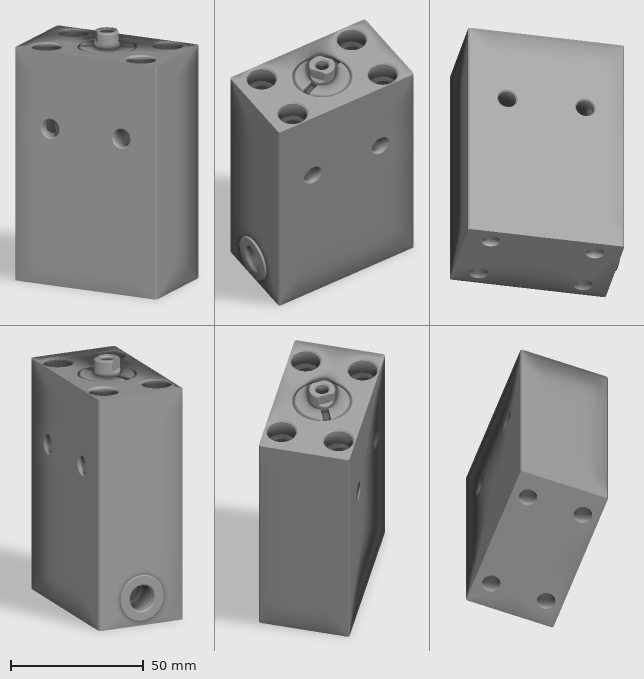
import cadquery as cq
import math

HOUSING_X = 59.9
HOUSING_Y = 35.0
TOTAL_HEIGHT = 97.0
ROD_PROTRUSION = 6.0
HOUSING_Z = TOTAL_HEIGHT - ROD_PROTRUSION
CORNER_CHAMFER = 0.5

SCREW_SPACING_X = 40.0
SCREW_SPACING_Y = 22.0
SCREW_DIA = 7.0
SCREW_CHAMFER = 0.5
COUNTERBORE_DIA = 11.0
COUNTERBORE_DEPTH = 6.8
COUNTERBORE_CHAMFER = 0.6

CROSS_SPACING = 30.0
CROSS_DIA = 7.0
CROSS_BELOW_TOP = 30.0
CROSS_CHAMFER = 0.5

GLAND_DIA = 22.0
GLAND_LENGTH = 20.0
GLAND_CHAMFER = 1.0
GLAND_BORE_CHAMFER = 0.5
SLOT_WIDTH = 3.0
SLOT_DEPTH = 2.0
SLOT_ANGLE = 23.5

ROD_DIA = 10.0
ROD_CHAMFER = 0.4
ROD_BORE_DIA = 5.0
ROD_BORE_DEPTH = 12.0
ROD_BORE_CHAMFER = 0.5
DRILL_POINT_ANGLE = 118.0
FLAT_SPACING = 8.0
FLAT_HEIGHT = 4.0
FLAT_ANGLE = 35.0

PORT_Z = 11.0
PORT_FLANGE_DIA = 18.1
PORT_FLANGE_THICKNESS = 1.1
PORT_FLANGE_CHAMFER = 0.3
PORT_STEM_DIA = 13.0
PORT_BUSHING_LENGTH = 11.2
PORT_BORE_DIA = 10.0
PORT_BORE_CHAMFER = 0.5
PORT_PASSAGE_DIA = 9.0
PORT_PASSAGE_DEPTH = 3.0

HOUSING_LEFT_X = -HOUSING_X / 2
PORT_FACE_X = HOUSING_LEFT_X - PORT_FLANGE_THICKNESS
DOWN = cq.Vector(0, 0, -1)
ALONG_X = cq.Vector(1, 0, 0)
ALONG_Y = cq.Vector(0, 1, 0)


def cylinder(diameter, length, start, direction):
    """Cylinder that begins at a point and runs along a direction."""
    return cq.Workplane(cq.Solid.makeCylinder(diameter / 2, length, start, direction))


def countersink(hole_diameter, chamfer, start, direction):
    """Cone that cuts a 45 degree chamfer into the mouth of a hole."""
    hole_radius = hole_diameter / 2
    return cq.Workplane(cq.Solid.makeCone(hole_radius + chamfer, hole_radius, chamfer, start, direction))


def chamfered_hole(diameter, length, chamfer, start, direction):
    """Cutter for a straight hole with a chamfered mouth."""
    return cylinder(diameter, length, start, direction).union(
        countersink(diameter, chamfer, start, direction))


def cut_screw_holes(body):
    for side_x in (-1, 1):
        for side_y in (-1, 1):
            x = side_x * SCREW_SPACING_X / 2
            y = side_y * SCREW_SPACING_Y / 2
            mouth = cq.Vector(x, y, HOUSING_Z)
            seat = cq.Vector(x, y, HOUSING_Z - COUNTERBORE_DEPTH)
            body = body.cut(chamfered_hole(
                COUNTERBORE_DIA, COUNTERBORE_DEPTH, COUNTERBORE_CHAMFER, mouth, DOWN))
            body = body.cut(chamfered_hole(SCREW_DIA, seat.z, SCREW_CHAMFER, seat, DOWN))
    return body


def cut_cross_holes(body):
    for side_x in (-1, 1):
        x = side_x * CROSS_SPACING / 2
        z = HOUSING_Z - CROSS_BELOW_TOP
        front = cq.Vector(x, -HOUSING_Y / 2, z)
        back = cq.Vector(x, HOUSING_Y / 2, z)
        body = body.cut(chamfered_hole(CROSS_DIA, HOUSING_Y, CROSS_CHAMFER, front, ALONG_Y))
        body = body.cut(countersink(CROSS_DIA, CROSS_CHAMFER, back, -ALONG_Y))
    return body


def port_stem():
    """Bushing stem, which fills the port recess in the housing."""
    stem_length = PORT_BUSHING_LENGTH - PORT_FLANGE_THICKNESS
    return cylinder(PORT_STEM_DIA, stem_length, cq.Vector(HOUSING_LEFT_X, 0, PORT_Z), ALONG_X)


def port_passage():
    start = cq.Vector(PORT_FACE_X + PORT_BUSHING_LENGTH, 0, PORT_Z)
    return chamfered_hole(
        PORT_PASSAGE_DIA, PORT_PASSAGE_DEPTH, PORT_BORE_CHAMFER, start, ALONG_X)


def make_housing():
    body = cq.Workplane().box(HOUSING_X, HOUSING_Y, HOUSING_Z, centered=(True, True, False))
    body = body.edges("|Z").chamfer(CORNER_CHAMFER)
    body = cut_screw_holes(body)
    body = cut_cross_holes(body)
    gland_seat = chamfered_hole(
        GLAND_DIA, GLAND_LENGTH, GLAND_BORE_CHAMFER, cq.Vector(0, 0, HOUSING_Z), DOWN)
    return body.cut(gland_seat).cut(port_stem()).cut(port_passage())


def make_gland():
    top = cq.Vector(0, 0, HOUSING_Z)
    body = cylinder(GLAND_DIA, GLAND_LENGTH, top, DOWN).faces(">Z").edges().chamfer(GLAND_CHAMFER)
    slot = (
        cq.Workplane()
        .box(GLAND_DIA, SLOT_WIDTH, SLOT_DEPTH, centered=(True, True, False))
        .rotate((0, 0, 0), (0, 0, 1), SLOT_ANGLE)
        .translate((0, 0, HOUSING_Z - SLOT_DEPTH))
    )
    return body.cut(slot).cut(cylinder(ROD_DIA, GLAND_LENGTH, top, DOWN))


def flat_cutter():
    """Cutter for both wrench flats, each ending below in a 45 degree ramp."""
    inner = FLAT_SPACING / 2
    outer = ROD_DIA / 2
    flat_bottom = TOTAL_HEIGHT - FLAT_HEIGHT
    profile = [
        (inner, TOTAL_HEIGHT),
        (outer, TOTAL_HEIGHT),
        (outer, flat_bottom - (outer - inner)),
        (inner, flat_bottom),
    ]
    one_side = cq.Workplane("XZ").polyline(profile).close().extrude(ROD_DIA / 2, both=True)
    return one_side.union(one_side.mirror("YZ")).rotate((0, 0, 0), (0, 0, 1), FLAT_ANGLE)


def drill_point():
    """Conical end of the blind rod bore."""
    radius = ROD_BORE_DIA / 2
    height = radius / math.tan(math.radians(DRILL_POINT_ANGLE / 2))
    start = cq.Vector(0, 0, TOTAL_HEIGHT - ROD_BORE_DEPTH)
    return cq.Workplane(cq.Solid.makeCone(radius, 0, height, start, DOWN))


def make_rod():
    top = cq.Vector(0, 0, TOTAL_HEIGHT)
    body = cylinder(ROD_DIA, ROD_PROTRUSION + GLAND_LENGTH, top, DOWN)
    body = body.faces(">Z").edges().chamfer(ROD_CHAMFER)
    body = body.cut(flat_cutter())
    bore = chamfered_hole(ROD_BORE_DIA, ROD_BORE_DEPTH, ROD_BORE_CHAMFER, top, DOWN)
    return body.cut(bore).cut(drill_point())


def make_port_bushing():
    mouth = cq.Vector(PORT_FACE_X, 0, PORT_Z)
    flange = cylinder(PORT_FLANGE_DIA, PORT_FLANGE_THICKNESS, mouth, ALONG_X)
    flange = flange.faces("<X or >X").edges().chamfer(PORT_FLANGE_CHAMFER)
    body = flange.union(port_stem())
    return body.cut(chamfered_hole(PORT_BORE_DIA, PORT_BUSHING_LENGTH, PORT_BORE_CHAMFER, mouth, ALONG_X))


housing = make_housing()
gland = make_gland()
rod = make_rod()
port_bushing = make_port_bushing()

bodies = [housing, gland, rod, port_bushing]
result = cq.Compound.makeCompound([body.solids().val() for body in bodies])